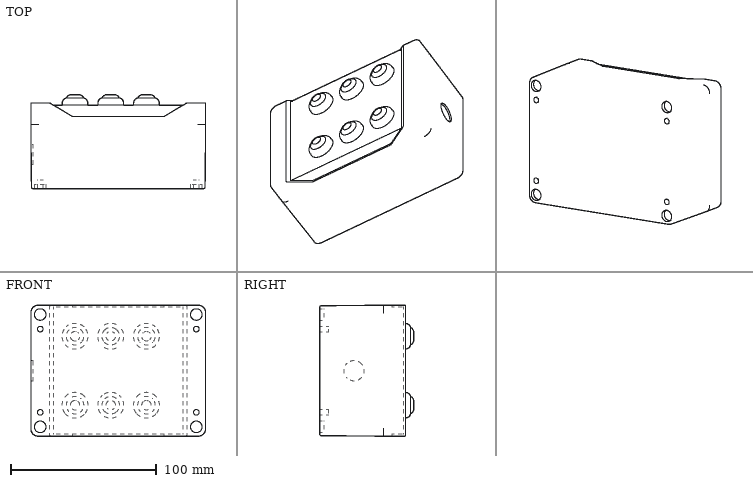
import cadquery as cq

LENGTH = 120.0
WIDTH = 90.0
CORNER_RADIUS = 5.3

BASE_HEIGHT = 43.9
BASE_DRAFT_ANGLE = 0.5
BASE_EDGE_RADIUS = 1.2

LID_TOP = 58.9
LID_EDGE_RADIUS = 0.8
PANEL_LEVEL = 57.4
NOTCH_FLOOR = 49.5
NOTCH_TOP_HALF_LENGTH = 47.0
NOTCH_FLOOR_HALF_LENGTH = 31.3
NOTCH_DEPTH = 1.5

BUTTON_RADIUS = 8.9
BUTTON_COLLAR_TOP = LID_TOP
BUTTON_SHOULDER_RADIUS = 6.0
BUTTON_SHOULDER_LEVEL = 62.4
BUTTON_TIP_RADIUS = 3.2
BUTTON_TOP = 64.5
BUTTON_ARC_RADIUS = 4.0
BUTTON_PITCH_X = 24.5
BUTTON_CENTER_X = -5.2
BUTTON_PITCH_Z = 47.3

SCREW_RADIUS = 4.0
SCREW_DEPTH = 3.0
MOUNT_RADIUS = 1.9
MOUNT_DEPTH = 6.0
HOLE_X = 53.5
SCREW_Z = 38.5
MOUNT_Z = 28.5

ENTRY_RADIUS = 7.0
ENTRY_LEVEL = 23.5
ENTRY_DEPTH = 1.5


def facing_lid(level):
    """Workplane at the given Y level with its normal along +Y, local x = X, local y = -Z."""
    return cq.Workplane("XZ", origin=(0, level, 0)).transformed(rotate=(180, 0, 0))


def facing_base(level):
    """Workplane at the given Y level with its normal along -Y, local x = X, local y = Z."""
    return cq.Workplane("XZ", origin=(0, level, 0))


def make_base():
    """Box tapering slightly from the parting plane to the rounded bottom edge."""
    base = facing_base(BASE_HEIGHT).rect(LENGTH, WIDTH).extrude(BASE_HEIGHT, taper=BASE_DRAFT_ANGLE)
    base = base.edges("not(#Y)").fillet(CORNER_RADIUS)
    return base.faces("<Y").edges().fillet(BASE_EDGE_RADIUS)


def make_lid():
    """Straight-walled lid with a sunken middle panel and sloped notches in both long walls."""
    lid = facing_lid(BASE_HEIGHT).rect(LENGTH, WIDTH).extrude(LID_TOP - BASE_HEIGHT)
    lid = lid.edges("|Y").fillet(CORNER_RADIUS)
    lid = lid.faces(">Y").edges().fillet(LID_EDGE_RADIUS)

    notch_slope = (NOTCH_TOP_HALF_LENGTH - NOTCH_FLOOR_HALF_LENGTH) / (LID_TOP - NOTCH_FLOOR)
    panel_half_length = NOTCH_TOP_HALF_LENGTH - notch_slope * (LID_TOP - PANEL_LEVEL)

    panel = trapezoid_cutter(NOTCH_TOP_HALF_LENGTH, panel_half_length, PANEL_LEVEL, WIDTH)
    notch = trapezoid_cutter(NOTCH_TOP_HALF_LENGTH, NOTCH_FLOOR_HALF_LENGTH, NOTCH_FLOOR, 2 * NOTCH_DEPTH)
    lid = lid.cut(panel)
    for side in (-1, 1):
        lid = lid.cut(notch.translate((0, 0, side * WIDTH / 2)))
    return lid


def trapezoid_cutter(top_half_length, floor_half_length, floor_level, width):
    """Prism along Z, centred on Z = 0, reaching from the given floor level up to the lid top."""
    outline = [
        (-top_half_length, LID_TOP),
        (-floor_half_length, floor_level),
        (floor_half_length, floor_level),
        (top_half_length, LID_TOP),
    ]
    return cq.Workplane("XY").polyline(outline).close().extrude(width / 2, both=True)


def make_button():
    """Button revolved about Y: a collar, then two convex rounds up to a flat top."""
    root_level = NOTCH_FLOOR
    return (
        cq.Workplane("YZ")
        .moveTo(root_level, 0)
        .lineTo(root_level, BUTTON_RADIUS)
        .lineTo(BUTTON_COLLAR_TOP, BUTTON_RADIUS)
        .radiusArc((BUTTON_SHOULDER_LEVEL, BUTTON_SHOULDER_RADIUS), BUTTON_ARC_RADIUS)
        .radiusArc((BUTTON_TOP, BUTTON_TIP_RADIUS), BUTTON_ARC_RADIUS)
        .lineTo(BUTTON_TOP, 0)
        .close()
        .revolve(360, (0, 0, 0), (1, 0, 0))
    )


def add_buttons(body):
    """Three columns by two rows of buttons."""
    button = make_button()
    for column in (-1, 0, 1):
        for row in (-0.5, 0.5):
            x = BUTTON_CENTER_X + column * BUTTON_PITCH_X
            body = body.union(button.translate((x, 0, row * BUTTON_PITCH_Z)))
    return body


def base_holes(z_offset, radius, depth):
    """Four blind holes in the base, one near each corner."""
    centers = facing_lid(0).rect(2 * HOLE_X, 2 * z_offset, forConstruction=True).vertices()
    return centers.circle(radius).extrude(depth)


def cable_entry():
    """Shallow round recess in the -X wall."""
    wall = cq.Workplane("YZ", origin=(-LENGTH / 2, ENTRY_LEVEL, 0))
    return wall.circle(ENTRY_RADIUS).extrude(ENTRY_DEPTH)


enclosure = add_buttons(make_base().union(make_lid()))
enclosure = enclosure.cut(base_holes(SCREW_Z, SCREW_RADIUS, SCREW_DEPTH))
enclosure = enclosure.cut(base_holes(MOUNT_Z, MOUNT_RADIUS, MOUNT_DEPTH))
result = enclosure.cut(cable_entry())